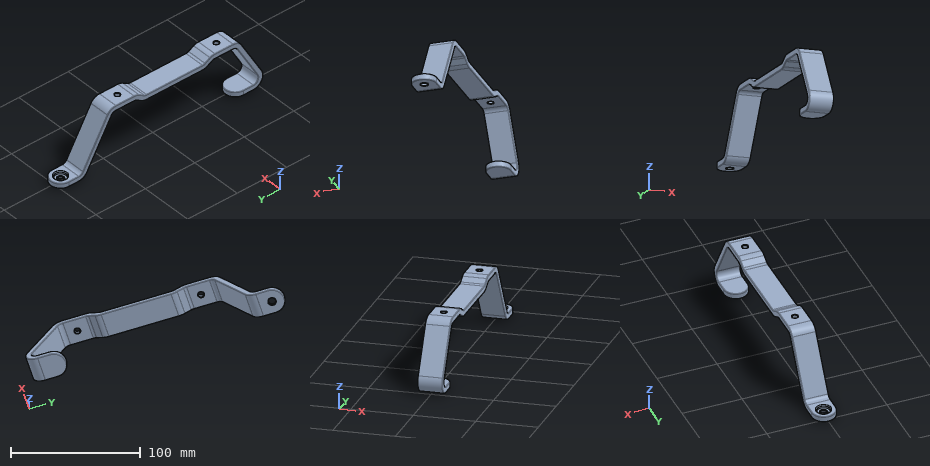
import cadquery as cq
import math

length = 206.3
width = 20.0
height = 55.0
thickness = 5.0
edge_round = 0.5

inner_radius = thickness
middle_radius = inner_radius + thickness / 2
outer_radius = inner_radius + thickness
leg_angle = 60.0
hook_angle = 180.0 - leg_angle
step_angle = 30.0
step_drop = thickness

tip_radius = width / 2
tab_straight = width - tip_radius

pad_hole_spacing = 100.0
pad_hole_offset = 0.6
pad_hole_diameter = 4.3
tab_hole_diameter = 5.5
counterbore_diameter = 11.0
counterbore_depth = 2.5
hole_chamfer = 0.5
counterbore_chamfer = 0.8


def slope_straight(rise, slope_angle, first_bend, second_bend):
    """Length of the sloped straight that climbs the given rise between two bends."""
    first_rise = middle_radius * (1 - math.cos(math.radians(first_bend)))
    second_rise = middle_radius * (1 - math.cos(math.radians(second_bend)))
    return (rise - first_rise - second_rise) / math.sin(math.radians(slope_angle))


def slope_run(straight, slope_angle):
    """Level distance covered by a sloped straight with an equal bend at each end."""
    slope = math.radians(slope_angle)
    return straight * math.cos(slope) + 2 * middle_radius * math.sin(slope)


leg_rise = height - thickness
leg_straight = slope_straight(leg_rise, leg_angle, leg_angle, leg_angle)
hook_straight = slope_straight(leg_rise, leg_angle, leg_angle, hook_angle)
step_straight = slope_straight(step_drop, step_angle, step_angle, step_angle)

leg_run = slope_run(leg_straight, leg_angle)
step_run = slope_run(step_straight, step_angle)
hook_run = hook_straight * math.cos(math.radians(leg_angle)) + outer_radius
pad_straight = length - width - leg_run - pad_hole_spacing - hook_run
middle_straight = pad_hole_spacing - pad_straight - 2 * step_run

tab_center_y = length / 2 - tip_radius
hook_center_y = -length / 2 + outer_radius + tab_straight
first_pad_hole_y = length / 2 - width - leg_run - pad_straight / 2 - pad_hole_offset
pad_hole_places = [first_pad_hole_y, first_pad_hole_y - pad_hole_spacing]

strip_course = [
    (tab_straight, -leg_angle),
    (leg_straight, leg_angle),
    (pad_straight, step_angle),
    (step_straight, -step_angle),
    (middle_straight, -step_angle),
    (step_straight, step_angle),
    (pad_straight, leg_angle),
    (hook_straight, hook_angle),
]


def middle_line():
    """Middle line of the strip in the YZ plane, between the two tip centers."""
    heading = 180.0
    path = cq.Workplane("YZ").moveTo(tab_center_y, thickness / 2)
    for straight, bend in strip_course:
        path = path.polarLine(straight, heading)
        chord = 2 * middle_radius * math.sin(math.radians(abs(bend)) / 2)
        chord_heading = math.radians(heading + bend / 2)
        bend_end = (chord * math.cos(chord_heading), chord * math.sin(chord_heading))
        path = path.tangentArcPoint(bend_end, relative=True)
        heading += bend
    return path.polarLine(tab_straight, heading)


def bent_strip():
    """Strip of constant section with both tips rounded and its outer edges eased."""
    section = cq.Workplane("XZ", origin=(0, tab_center_y, thickness / 2)).rect(width, thickness)
    strip = section.sweep(middle_line())
    tips = (
        cq.Workplane("XY")
        .pushPoints([(0, tab_center_y), (0, hook_center_y)])
        .circle(tip_radius)
        .extrude(thickness)
    )
    return strip.union(tips).faces("<X or >X").edges("not |Z").fillet(edge_round)


def chamfered_bore(diameter, depth, chamfer):
    """Cutter for a bore going down from Z = 0, widened at its mouth by the chamfer."""
    radius = diameter / 2
    bore = cq.Workplane("XY").circle(radius).extrude(-depth)
    mouth = cq.Workplane("XY").circle(radius + chamfer).extrude(-chamfer, taper=45)
    return bore.union(mouth)


def through_hole(diameter, depth):
    """Cutter for a hole centered on Z = 0 and chamfered at both ends."""
    upper_half = chamfered_bore(diameter, depth / 2, hole_chamfer).translate((0, 0, depth / 2))
    return upper_half.union(upper_half.mirror("XY"))


def cut_pad_holes(body):
    """Hole through each raised pad."""
    hole = through_hole(pad_hole_diameter, thickness)
    for y in pad_hole_places:
        body = body.cut(hole.translate((0, y, height - thickness / 2)))
    return body


def cut_tab_hole(body):
    """Counterbored hole through the end tab."""
    floor_z = thickness - counterbore_depth
    counterbore = chamfered_bore(counterbore_diameter, counterbore_depth, counterbore_chamfer)
    hole = through_hole(tab_hole_diameter, floor_z)
    body = body.cut(counterbore.translate((0, tab_center_y, thickness)))
    return body.cut(hole.translate((0, tab_center_y, floor_z / 2)))


result = cut_tab_hole(cut_pad_holes(bent_strip()))